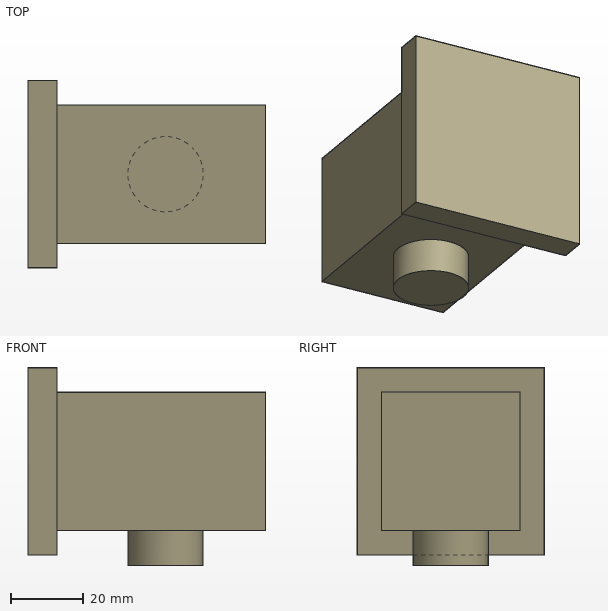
import cadquery as cq

total_length = 66.0
plate_side = 52.0
plate_thickness = 8.1
body_side = 38.5
total_height = 55.0
spigot_diameter = 20.9
spigot_center_x = 38.2

body_length = total_length - plate_thickness
spigot_bottom_z = plate_side / 2 - total_height
spigot_length = -body_side / 2 - spigot_bottom_z


def square_block(start_x, side, length):
    """Square block centred on the X axis, running from start_x toward +X."""
    return cq.Workplane("YZ").workplane(offset=start_x).rect(side, side).extrude(length)


plate = square_block(0, plate_side, plate_thickness)
body = square_block(plate_thickness, body_side, body_length)

spigot = (
    cq.Workplane("XY", origin=(spigot_center_x, 0, spigot_bottom_z))
    .circle(spigot_diameter / 2)
    .extrude(spigot_length)
)

result = plate.union(body).union(spigot)